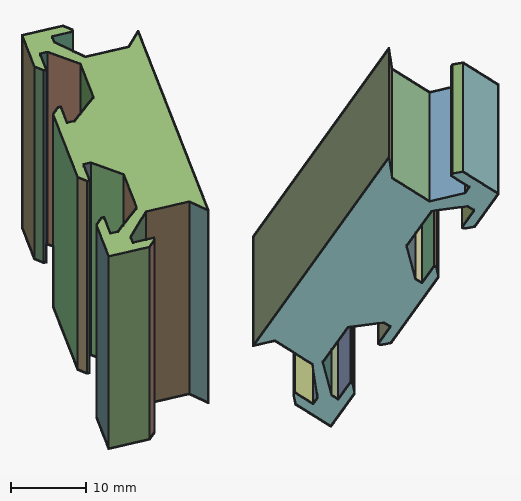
import cadquery as cq

width = 40.0
depth = 15.0
length = 40.0

slot_spacing = 20.0
slot_depth = 6.0
shoulder_depth = 2.4
lip_thickness = 1.35
lip_chamfer = 1.0
mouth_half = 3.3
pocket_half = 6.25
floor_half = 3.0

side_slot_centre = slot_spacing / 2
half_width = width / 2

wall_slope = (slot_depth - shoulder_depth) / (pocket_half - floor_half)


def slot_wall():
    """Wall from mouth to floor as (distance from centreline, distance from face)."""
    return [
        (mouth_half + lip_chamfer, 0),
        (mouth_half, lip_chamfer),
        (mouth_half, lip_thickness),
        (pocket_half, lip_thickness),
        (pocket_half, shoulder_depth),
        (floor_half, slot_depth),
    ]


def front_slot():
    """Outline of the right-hand front slot, from its inner to its outer wall."""
    centre = slot_spacing / 2
    inner = [(centre - across, inward) for across, inward in slot_wall()]
    outer = [(centre + across, inward) for across, inward in reversed(slot_wall())]
    return inner + outer


def side_slot():
    """Outline of the right-hand side slot, running out through the back face."""
    front_wall = [(half_width - inward, side_slot_centre - across) for across, inward in slot_wall()]
    floor_back = side_slot_centre + floor_half
    tip_inward = slot_depth - (depth - floor_back) * wall_slope
    back_wall = [(half_width - slot_depth, floor_back), (half_width - tip_inward, depth)]
    return front_wall + back_wall


half_outline = [(0, 0)] + front_slot() + [(half_width, 0)] + side_slot() + [(0, depth)]
half_profile = cq.Workplane("XY").polyline(half_outline).close().extrude(length)

result = half_profile.union(half_profile.mirror("YZ")).clean()